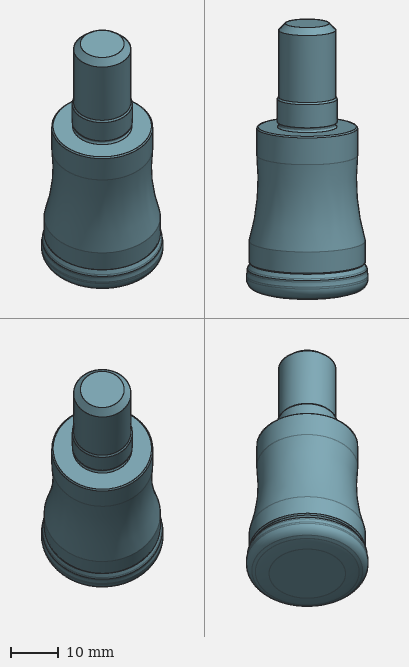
import cadquery as cq
import math

total_height = 57.0
joint_z = 6.0
base_band_z = 6.25
waist_bottom_z = 10.8
waist_top_z = 29.0
shoulder_z = 35.0
collar_bottom_z = 36.0
collar_top_z = 41.3

stud_radius = 6.0
stud_chamfer = 1.4
collar_radius = 6.25
collar_lead_height = 0.4
neck_radius = 5.9
neck_waist_rise = 0.5
neck_top_radius = 6.05
neck_top_drop = 0.15
neck_foot_radius = 6.2
neck_sag = 0.05
shoulder_radius = 10.55
shoulder_chamfer = 0.3
base_radius = 12.15
base_chamfer = base_band_z - joint_z
waist_curve_radius = 48.45

cap_top_radius = base_radius - base_chamfer
cap_radius = 12.7
cap_rim_radius = 12.55
cone_bottom_radius = 12.35
cone_bottom_z = 5.15
rim_top_z = 4.8
rim_bottom_z = 4.45
flare_sag = 0.03
widest_top_z = 3.4
widest_bottom_z = 3.0
corner_bottom_radius = 11.55
corner_bottom_z = 0.8
corner_curve_radius = 2.4
foot_edge_radius = 10.85
foot_edge_z = 0.5
foot_flat_radius = 8.0


def sag_of_chord(start, end, radius):
    """Height of a circular arc of the given radius above its chord."""
    half_chord = math.dist(start, end) / 2
    return radius - math.sqrt(radius**2 - half_chord**2)


def make_holder():
    waist_top = (shoulder_radius, waist_top_z)
    waist_bottom = (base_radius, waist_bottom_z)
    waist_sag = sag_of_chord(waist_bottom, waist_top, waist_curve_radius)
    neck_waist = (neck_radius, shoulder_z + neck_waist_rise)
    neck_top = (neck_top_radius, collar_bottom_z - neck_top_drop)
    profile = (
        cq.Workplane("XZ")
        .moveTo(0, joint_z)
        .lineTo(cap_top_radius, joint_z)
        .lineTo(base_radius, base_band_z)
        .lineTo(*waist_bottom)
        .sagittaArc(waist_top, waist_sag)
        .lineTo(shoulder_radius, shoulder_z - shoulder_chamfer)
        .lineTo(shoulder_radius - shoulder_chamfer, shoulder_z)
        .lineTo(neck_foot_radius, shoulder_z)
        .sagittaArc(neck_waist, neck_sag)
        .sagittaArc(neck_top, neck_sag)
        .lineTo(collar_radius, collar_bottom_z)
        .lineTo(collar_radius, collar_top_z - collar_lead_height)
        .lineTo(stud_radius, collar_top_z)
        .lineTo(stud_radius, total_height - stud_chamfer)
        .lineTo(stud_radius - stud_chamfer, total_height)
        .lineTo(0, total_height)
        .close()
    )
    return profile.revolve(360, (0, 0), (0, 1))


def make_cap():
    foot_arc_radius = ((foot_edge_radius - foot_flat_radius)**2 + foot_edge_z**2) / (2 * foot_edge_z)
    foot_edge = (foot_edge_radius, foot_edge_z)
    foot_sag = sag_of_chord((foot_flat_radius, 0), foot_edge, foot_arc_radius)
    corner_bottom = (corner_bottom_radius, corner_bottom_z)
    widest_point = (cap_radius, widest_bottom_z)
    corner_sag = sag_of_chord(corner_bottom, widest_point, corner_curve_radius)
    profile = (
        cq.Workplane("XZ")
        .lineTo(foot_flat_radius, 0)
        .sagittaArc(foot_edge, -foot_sag)
        .lineTo(*corner_bottom)
        .sagittaArc(widest_point, -corner_sag)
        .lineTo(cap_radius, widest_top_z)
        .sagittaArc((cap_rim_radius, rim_bottom_z), flare_sag)
        .lineTo(cap_rim_radius, rim_top_z)
        .lineTo(cone_bottom_radius, cone_bottom_z)
        .lineTo(cap_top_radius, joint_z)
        .lineTo(0, joint_z)
        .close()
    )
    return profile.revolve(360, (0, 0), (0, 1))


holder = make_holder()
cap = make_cap()

result = cq.Compound.makeCompound([holder.val(), cap.val()])